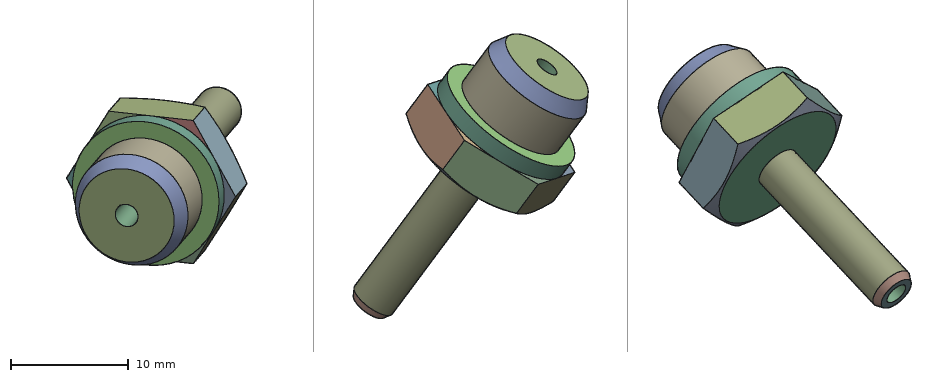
import cadquery as cq
import math

total_length = 27.2
plug_length = 5.5
plug_chamfer_length = 1.45
collar_length = 1.5
hex_length = 4.0
stem_chamfer_length = 0.68

hex_across_flats = 13.0
collar_diameter = hex_across_flats
plug_diameter = 10.0
plug_end_diameter = 8.43
stem_diameter = 4.0
stem_tip_diameter = 3.26
bore_diameter = 2.0

hex_chamfer_angle = 30.0
hex_face_diameter = 12.65

hex_across_corners = hex_across_flats / math.cos(math.radians(30))
collar_start = plug_length
hex_start = collar_start + collar_length
hex_end = hex_start + hex_length


def revolve_about_y(profile):
    """Revolve a closed (radius, y) profile around the Y axis."""
    return cq.Workplane("XY").polyline(profile).close().revolve(360, (0, 0, 0), (0, 1, 0))


def make_turned_body():
    """Plug with tapered end, collar, and stem with tapered tip."""
    return revolve_about_y([
        (0, 0),
        (plug_end_diameter / 2, 0),
        (plug_diameter / 2, plug_chamfer_length),
        (plug_diameter / 2, collar_start),
        (collar_diameter / 2, collar_start),
        (collar_diameter / 2, hex_start),
        (stem_diameter / 2, hex_start),
        (stem_diameter / 2, total_length - stem_chamfer_length),
        (stem_tip_diameter / 2, total_length),
        (0, total_length),
    ])


def make_hexagon():
    """Hexagon with corners on +X and -X, its stem-side corners cut by a cone."""
    prism = (
        cq.Workplane("XZ", origin=(0, hex_start, 0))
        .polygon(6, hex_across_corners)
        .extrude(-hex_length)
    )
    envelope_radius = hex_across_corners
    cone_drop = (envelope_radius - hex_face_diameter / 2) * math.tan(math.radians(hex_chamfer_angle))
    envelope = revolve_about_y([
        (0, hex_start),
        (envelope_radius, hex_start),
        (envelope_radius, hex_end - cone_drop),
        (hex_face_diameter / 2, hex_end),
        (0, hex_end),
    ])
    return prism.intersect(envelope)


bore = cq.Workplane("XZ").circle(bore_diameter / 2).extrude(-total_length)

result = make_turned_body().union(make_hexagon()).cut(bore)